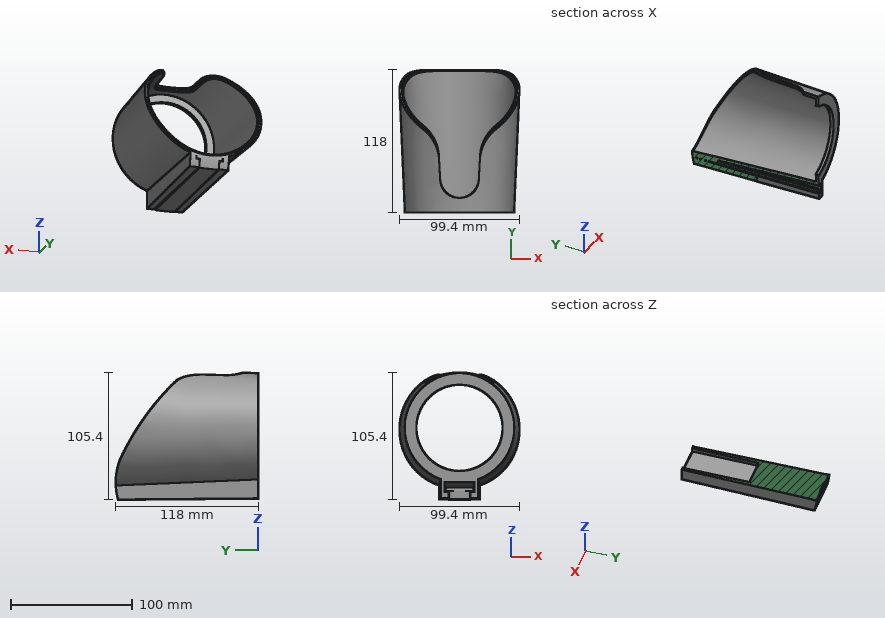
import math

import cadquery as cq

LENGTH = 118.0
FRONT_RADIUS = 45.25
DRAFT = math.tan(math.radians(2.54))
WALL = 3.2
LIP_THICKNESS = 3.0
HOLE_RADIUS = 35.5
RIM_CHAMFER = 1.1

CUT_LOWER_RADIUS = 50.0
CUT_LOWER_CENTER_Z = -45.0
CUT_FOOT_Z = -62.0
CUT_KNEE_Z = -23.2
CUT_MIDDLE = (86.7, 18.4)
CUT_TOP = (55.6, 50.0)
CUT_HEIGHT = 80.0
CUT_HALF_WIDTH = 70.0

SLOT_END_Y = 12.2
SLOT_RADIUS = 16.0
SLOT_FLARE = math.radians(3.0)
SLOT_BLEND_RADIUS = 12.0

BLOCK_TOP = -38.0
BLOCK_FRONT_HALF_WIDTH = 15.3
BLOCK_REAR_HALF_WIDTH = 16.8
BLOCK_FRONT_BOTTOM = -58.1
BLOCK_REAR_BOTTOM = -59.1

CHANNEL_CEILING = -44.9
CHANNEL_FRONT_LEDGE = -53.1
CHANNEL_FRONT_HALF_WIDTH = 12.4
NECK_FRONT_HALF_WIDTH = 9.2

KEY_TOP = -49.1
KEY_LEDGE = -52.3
KEY_HEAD_HALF_WIDTH = 11.5
KEY_HEAD_CORNER_RADIUS = 2.6
KEY_HEAD_TOP_FILLET = 1.2
KEY_HEAD_LEAN = 0.5
KEY_STEM_HALF_WIDTH = 8.5
KEY_STEM_CORNER_RADIUS = 3.1
KEY_DROP = 0.48

OVERCUT = 5.0
SELECTION_MARGIN = 1.0


def outer_radius(y):
    return FRONT_RADIUS + DRAFT * y


def cone(y_start, y_end, inset):
    """Solid cone about Y whose surface lies `inset` inside the sleeve's outer surface."""
    return (
        cq.Workplane("XY")
        .moveTo(0, y_start)
        .lineTo(outer_radius(y_start) - inset, y_start)
        .lineTo(outer_radius(y_end) - inset, y_end)
        .lineTo(0, y_end)
        .close()
        .revolve(360, (0, 0, 0), (0, 1, 0))
    )


def tapered_bar(front, rear):
    """Bar along the full length between two (half width, bottom, top) rectangles."""

    def corners(section):
        half_width, bottom, top = section
        return [(-half_width, bottom), (half_width, bottom), (half_width, top), (-half_width, top)]

    return (
        cq.Workplane("XZ")
        .polyline(corners(front)).close()
        .workplane(offset=-LENGTH)
        .polyline(corners(rear)).close()
        .loft(ruled=True)
    )


def lower_cut_point(z):
    """Point (Y, Z) at height z on the lower arc of the rear cut."""
    depth = math.sqrt(CUT_LOWER_RADIUS**2 - (z - CUT_LOWER_CENTER_Z) ** 2)
    return (LENGTH - CUT_LOWER_RADIUS + depth, z)


def rear_cutter():
    """Everything behind the sloped rim, joined to the thumb slot by rounded corners."""
    foot = lower_cut_point(CUT_FOOT_Z)
    rearmost = lower_cut_point(CUT_LOWER_CENTER_Z)
    knee = lower_cut_point(CUT_KNEE_Z)
    behind_rim = (
        cq.Workplane("YZ")
        .moveTo(*foot)
        .threePointArc(rearmost, knee)
        .threePointArc(CUT_MIDDLE, CUT_TOP)
        .lineTo(CUT_TOP[0], CUT_HEIGHT)
        .lineTo(LENGTH + OVERCUT, CUT_HEIGHT)
        .lineTo(LENGTH + OVERCUT, CUT_FOOT_Z)
        .close()
        .extrude(CUT_HALF_WIDTH, both=True)
    )
    center_y = SLOT_END_Y + SLOT_RADIUS
    tangent_x = SLOT_RADIUS * math.cos(SLOT_FLARE)
    tangent_y = center_y - SLOT_RADIUS * math.sin(SLOT_FLARE)
    mouth_x = tangent_x + (LENGTH - tangent_y) * math.tan(SLOT_FLARE)
    slot = (
        cq.Workplane("XY")
        .moveTo(-mouth_x, LENGTH)
        .lineTo(-tangent_x, tangent_y)
        .threePointArc((0, SLOT_END_Y), (tangent_x, tangent_y))
        .lineTo(mouth_x, LENGTH)
        .close()
        .extrude(CUT_TOP[1])
    )
    inner_corners = cq.selectors.BoxSelector(
        (-mouth_x, CUT_TOP[0] - SELECTION_MARGIN, SELECTION_MARGIN),
        (mouth_x, knee[0], CUT_TOP[1] - SELECTION_MARGIN),
    )
    return behind_rim.union(slot).edges(inner_corners).fillet(SLOT_BLEND_RADIUS)


def channel():
    """T-shaped passage, clear of the key at the front and closing onto it at the rear."""
    rear_ceiling = CHANNEL_CEILING - DRAFT * LENGTH
    floor = BLOCK_REAR_BOTTOM - OVERCUT
    head = tapered_bar(
        (CHANNEL_FRONT_HALF_WIDTH, CHANNEL_FRONT_LEDGE, CHANNEL_CEILING),
        (KEY_HEAD_HALF_WIDTH, KEY_LEDGE, rear_ceiling),
    )
    neck = tapered_bar(
        (NECK_FRONT_HALF_WIDTH, floor, KEY_LEDGE),
        (KEY_STEM_HALF_WIDTH, floor, KEY_LEDGE),
    )
    return head.union(neck)


def key():
    """T-shaped key with rounded front corners; the front of its head leans back slightly."""
    head = (
        cq.Workplane("YZ")
        .moveTo(0, KEY_LEDGE)
        .lineTo(LENGTH, KEY_LEDGE)
        .lineTo(LENGTH, KEY_TOP)
        .lineTo(KEY_HEAD_LEAN, KEY_TOP)
        .close()
        .extrude(KEY_HEAD_HALF_WIDTH, both=True)
        .faces("<Y").edges("not |X").fillet(KEY_HEAD_CORNER_RADIUS)
        .faces(">Z").edges("<Y").fillet(KEY_HEAD_TOP_FILLET)
    )
    stem = tapered_bar(
        (KEY_STEM_HALF_WIDTH, BLOCK_FRONT_BOTTOM - KEY_DROP, KEY_LEDGE),
        (KEY_STEM_HALF_WIDTH, BLOCK_REAR_BOTTOM - KEY_DROP, KEY_LEDGE),
    ).edges("|Z and <Y").fillet(KEY_STEM_CORNER_RADIUS)
    return head.union(stem)


def chamfer_inner_rim(sleeve):
    """Bevel the edge where the cavity wall meets the sloped rim and the thumb slot."""
    floor_point = (0, LENGTH / 2, WALL - outer_radius(LENGTH / 2))
    cavity_wall = sleeve.faces("%CONE").faces(cq.selectors.NearestToPointSelector(floor_point))
    rim_edges = cavity_wall.edges("not(%CIRCLE or %LINE)")
    return sleeve.newObject(rim_edges.vals()).chamfer(RIM_CHAMFER)


cutter = rear_cutter()
cavity = cone(LIP_THICKNESS, LENGTH + OVERCUT, WALL)
hole = cq.Workplane("XZ").circle(HOLE_RADIUS).extrude(-LENGTH)
block = tapered_bar(
    (BLOCK_FRONT_HALF_WIDTH, BLOCK_FRONT_BOTTOM, BLOCK_TOP),
    (BLOCK_REAR_HALF_WIDTH, BLOCK_REAR_BOTTOM, BLOCK_TOP),
)
sleeve = cone(0, LENGTH + OVERCUT, 0).union(block).cut(hole).cut(cavity).cut(cutter)
result = chamfer_inner_rim(sleeve).cut(channel()).union(key().cut(cutter))